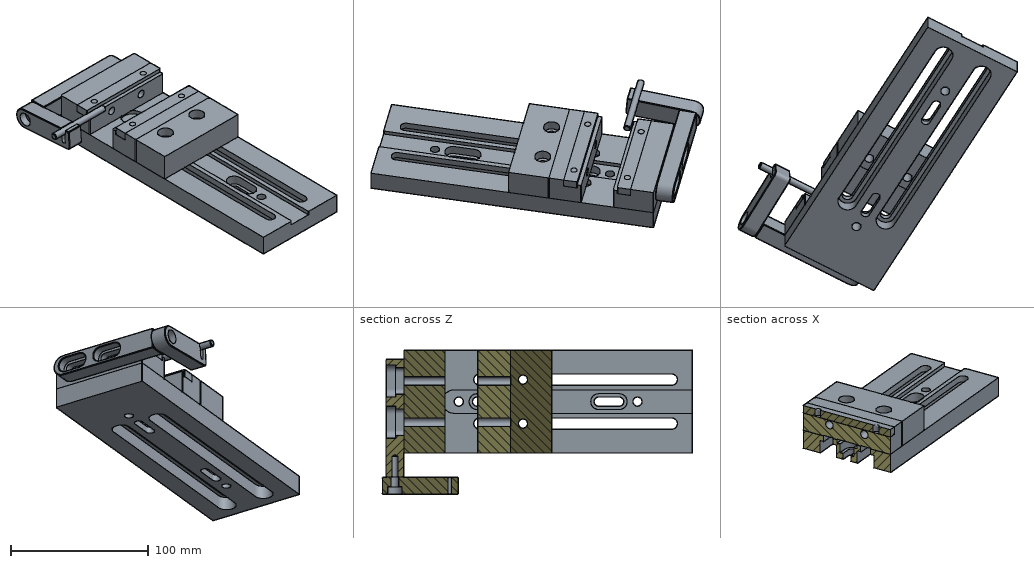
import cadquery as cq
import math

edge_break = 0.55
screw_clearance = 6.5
head_width = 11.5
overshoot = 1.0

base_length = 210.0
base_width = 75.0
base_height = 15.0
base_mid_x = base_length / 2

t_slot_offset_y = 16.0
t_slot_width = 8.0
t_slot_foot_width = 14.0
t_slot_lip = 5.0
t_slot_start_x = 51.0
t_slot_end_x = 199.0

channel_width = 17.0
channel_depth = 3.0
channel_start_x = 28.0

base_hole_offset_x = 65.0
base_slot_offset_x = 44.25
base_slot_travel = 15.0
base_slot_head_depth = 7.0

jaw_top = 35.0
jaw_length = 30.0
moving_jaw_x = 53.7
moving_jaw_length = 24.0
ledge_depth = 3.0
ledge_top = 32.0
strip_width = 10.0
strip_bottom = 29.0
strip_pocket_diameter = 4.5
strip_pocket_offset_y = 25.0
strip_pocket_roof = 0.55
face_hole_diameter = 6.0
face_hole_offset_y = 15.0
face_hole_z = 25.0

clamp_length = 30.0
clamp_x = moving_jaw_x + moving_jaw_length
clamp_hole_offset_x = 9.0
clamp_head_depth = 7.0

bar_thickness = 13.0
bar_height = 16.0
bar_top_y = 31.0
bar_bottom_y = -55.0
bar_slot_width = 7.0
bar_slot_travel = 12.0
bar_slot_head_width = 11.0
bar_slot_head_depth = 7.0
bar_thread_diameter = 4.2
bar_thread_depth = 15.0
drill_tip_angle = 118.0

pivot_x = -bar_thickness / 2
pivot_z = face_hole_z
arm_tilt = 4.6
arm_thickness = 12.5
arm_height = 16.0
arm_round_offset = 1.344
arm_reach = 45.9
arm_toe_radius = 3.0
arm_back_y = bar_bottom_y
pivot_hole_diameter = 5.5
pivot_head_diameter = 10.3
pivot_head_depth = 5.5
pin_slot_width = 3.2
pin_slot_end = -3.7

pin_diameter = 5.0
pin_length = 51.0
pin_front_y = -77.08
pin_x = 32.8
pin_z = 34.49


def box(x0, x1, width, z0, z1):
    """Block between two X values (in either order) and two Z values, centred on Y = 0."""
    middle = cq.Workplane("XY", origin=((x0 + x1) / 2, 0, (z0 + z1) / 2))
    return middle.box(abs(x1 - x0), width, z1 - z0)


def vertical_slot(x, y, travel, width, z0, z1):
    """Round-ended slot along X; travel is the distance between its end centres."""
    return cq.Workplane("XY", origin=(x, y, z0)).slot2D(travel + width, width).extrude(z1 - z0)


def vertical_cylinder(x, y, diameter, z0, z1):
    return cq.Workplane("XY", origin=(x, y, z0)).circle(diameter / 2).extrude(z1 - z0)


def x_cylinder(y, z, diameter, x0, x1):
    return cq.Workplane("YZ", origin=(x0, y, z)).circle(diameter / 2).extrude(x1 - x0)


def y_cylinder(x, z, diameter, y_front, y_back):
    return cq.Workplane("XZ", origin=(x, y_back, z)).circle(diameter / 2).extrude(y_back - y_front)


def make_base():
    base = box(0, base_length, base_width, 0, base_height)
    base = base.edges("|Z and <X").chamfer(edge_break)

    channel_floor = base_height - channel_depth
    channel_round_x = channel_start_x + channel_width / 2
    base = base.cut(vertical_cylinder(channel_round_x, 0, channel_width, channel_floor, base_height))
    base = base.cut(box(channel_round_x, base_length, channel_width, channel_floor, base_height))
    mouth = cq.selectors.BoxSelector(
        (base_length - overshoot, -channel_width, channel_floor),
        (base_length + overshoot, channel_width, base_height),
    )
    base = base.edges(mouth).edges("|Z").chamfer(edge_break)

    t_slot_mid_x = (t_slot_start_x + t_slot_end_x) / 2
    t_slot_travel = t_slot_end_x - t_slot_start_x - t_slot_width
    lip_bottom = base_height - t_slot_lip
    for y in (-t_slot_offset_y, t_slot_offset_y):
        base = base.cut(vertical_slot(t_slot_mid_x, y, t_slot_travel, t_slot_width, 0, base_height))
        base = base.cut(vertical_slot(t_slot_mid_x, y, t_slot_travel, t_slot_foot_width, 0, lip_bottom))

    head_floor = channel_floor - base_slot_head_depth
    for side in (-1, 1):
        slot_x = base_mid_x + side * base_slot_offset_x
        hole_x = base_mid_x + side * base_hole_offset_x
        base = base.cut(vertical_cylinder(hole_x, 0, screw_clearance, 0, base_height))
        base = base.cut(vertical_slot(slot_x, 0, base_slot_travel, screw_clearance, 0, base_height))
        base = base.cut(vertical_slot(slot_x, 0, base_slot_travel, head_width, head_floor, base_height))
    return base


def make_jaw(face_x, length, back):
    """Jaw gripping at face_x; back is the X direction from that face into the jaw."""
    back_x = face_x + back * length
    strip_face_x = face_x + back * ledge_depth
    strip_back_x = strip_face_x + back * strip_width
    jaw = box(face_x, back_x, base_width, base_height, jaw_top).edges("|Z").chamfer(edge_break)
    jaw = jaw.cut(box(face_x - back * overshoot, strip_face_x, base_width, ledge_top, jaw_top))
    jaw = jaw.cut(box(strip_face_x, strip_back_x, base_width, strip_bottom, jaw_top))

    left_x = min(face_x, back_x)
    for y in (-face_hole_offset_y, face_hole_offset_y):
        jaw = jaw.cut(x_cylinder(y, face_hole_z, face_hole_diameter, left_x, left_x + length))
    return jaw


def make_strip(face_x, back):
    """Strip set into the jaw behind its ledge, with two blind pockets underneath."""
    strip_face_x = face_x + back * ledge_depth
    strip_mid_x = strip_face_x + back * strip_width / 2
    strip = box(strip_face_x, strip_face_x + back * strip_width, base_width, strip_bottom, jaw_top)
    strip = strip.edges("|Z").edges("<X" if back > 0 else ">X").chamfer(edge_break)
    for y in (-strip_pocket_offset_y, strip_pocket_offset_y):
        strip = strip.cut(vertical_cylinder(strip_mid_x, y, strip_pocket_diameter,
                                            strip_bottom, jaw_top - strip_pocket_roof))
    return strip


def make_clamp():
    clamp = box(clamp_x, clamp_x + clamp_length, base_width, base_height, jaw_top)
    clamp = clamp.edges("|Z and <X").chamfer(edge_break)
    hole_x = clamp_x + clamp_hole_offset_x
    for y in (-t_slot_offset_y, t_slot_offset_y):
        clamp = clamp.cut(vertical_cylinder(hole_x, y, screw_clearance, base_height, jaw_top))
        clamp = clamp.cut(vertical_cylinder(hole_x, y, head_width, jaw_top - clamp_head_depth, jaw_top))
    return clamp


def make_bar():
    radius = bar_height / 2
    round_y = bar_top_y - radius
    bar = (
        cq.Workplane("YZ", origin=(-bar_thickness, 0, face_hole_z))
        .moveTo(bar_bottom_y, -radius)
        .lineTo(round_y, -radius)
        .threePointArc((bar_top_y, 0), (round_y, radius))
        .lineTo(bar_bottom_y, radius)
        .close()
        .extrude(bar_thickness)
    )
    bar = bar.faces("<X or >X or <Y").edges().chamfer(edge_break)

    mouth_width = bar_slot_head_width + 2 * edge_break
    for y in (-face_hole_offset_y, face_hole_offset_y):
        outer_face = cq.Workplane("YZ", origin=(-bar_thickness, y, face_hole_z))
        through = outer_face.slot2D(bar_slot_travel + bar_slot_width, bar_slot_width).extrude(bar_thickness)
        head = outer_face.slot2D(bar_slot_travel + bar_slot_head_width, bar_slot_head_width)
        head = head.extrude(bar_slot_head_depth)
        mouth = outer_face.slot2D(bar_slot_travel + mouth_width, mouth_width).extrude(edge_break, taper=45)
        bar = bar.cut(through).cut(head).cut(mouth)

    thread_radius = bar_thread_diameter / 2
    tip = thread_radius / math.tan(math.radians(drill_tip_angle / 2))
    thread = (
        cq.Workplane("XY", origin=(pivot_x, bar_bottom_y, pivot_z))
        .lineTo(thread_radius, 0)
        .lineTo(thread_radius, bar_thread_depth)
        .lineTo(0, bar_thread_depth + tip)
        .close()
        .revolve(360, (0, 0, 0), (0, 1, 0))
    )
    return bar.cut(thread)


def tilted(x, z):
    """Local arm coordinates (along, across the arm from the pivot) of a point in X, Z."""
    angle = math.radians(arm_tilt)
    dx = x - pivot_x
    dz = z - pivot_z
    return dx * math.cos(angle) + dz * math.sin(angle), dz * math.cos(angle) - dx * math.sin(angle)


def arm_groove(x, bottom_z, top_z, width):
    """Round-bottomed groove through the arm; bottom_z is the centre of the round."""
    walls = box(x - width / 2, x + width / 2, arm_thickness, bottom_z, top_z)
    walls = walls.translate((0, -arm_thickness / 2, 0))
    return walls.union(y_cylinder(x, bottom_z, width, -arm_thickness, 0))


def make_arm():
    """Built flat with the pivot at the origin, then tilted and moved into place."""
    half = arm_height / 2
    round_x = -arm_round_offset
    arm = (
        cq.Workplane("XZ")
        .moveTo(round_x, -half)
        .lineTo(arm_reach, -half)
        .lineTo(arm_reach, half)
        .lineTo(round_x, half)
        .radiusArc((round_x - half, 0), -half)
        .radiusArc((round_x, -half), -half)
        .close()
        .extrude(arm_thickness)
    )
    arm = arm.edges("|Y and >X and <Z").fillet(arm_toe_radius)
    arm = arm.edges("|Y and >X and >Z").chamfer(edge_break)
    arm = arm.faces("<Y or >Y").edges().chamfer(edge_break)

    arm = arm.cut(y_cylinder(0, 0, pivot_hole_diameter, -arm_thickness, 0))
    arm = arm.cut(y_cylinder(0, 0, pivot_head_diameter, -arm_thickness, pivot_head_depth - arm_thickness))

    seat_x, seat_z = tilted(pin_x, pin_z)
    slot_bottom_z = pin_slot_end + pin_slot_width / 2
    arm = arm.cut(arm_groove(seat_x, seat_z, half + overshoot, pin_diameter))
    arm = arm.cut(arm_groove(seat_x, slot_bottom_z, seat_z, pin_slot_width))

    arm = arm.rotate((0, 0, 0), (0, 1, 0), -arm_tilt)
    return arm.translate((pivot_x, arm_back_y, pivot_z))


def make_pin():
    pin = y_cylinder(pin_x, pin_z, pin_diameter, pin_front_y, pin_front_y + pin_length)
    return pin.edges().chamfer(edge_break)


base = make_base()
fixed_jaw = make_jaw(jaw_length, jaw_length, -1)
fixed_strip = make_strip(jaw_length, -1)
moving_jaw = make_jaw(moving_jaw_x, moving_jaw_length, 1)
moving_strip = make_strip(moving_jaw_x, 1)
clamp = make_clamp()
bar = make_bar()
arm = make_arm()
pin = make_pin()

bodies = [base, fixed_jaw, fixed_strip, moving_jaw, moving_strip, clamp, bar, arm, pin]
result = cq.Compound.makeCompound([body.solids().val() for body in bodies])